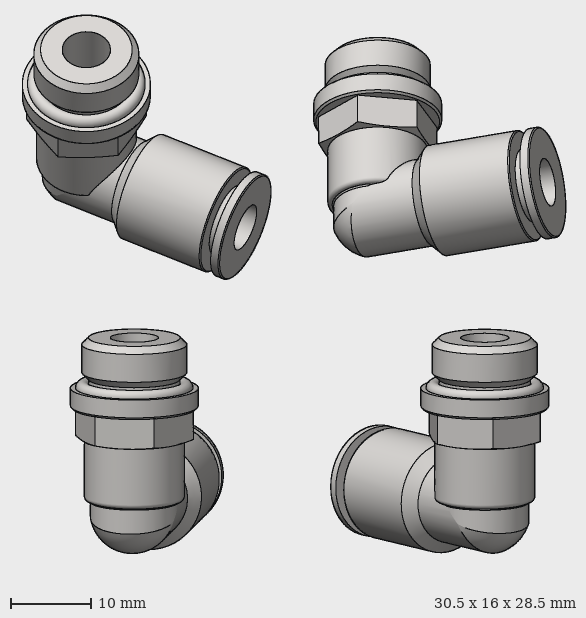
import cadquery as cq
import math


overall_length = 30.5
overall_height = 28.5

elbow_radius = 11.0 / 2
bore_radius = 6.0 / 2
corner_round_offset = 0.4
corner_region_edge = -0.9

flange_radius = 16.0 / 2
body_radius = 14.0 / 2
stem_top = overall_height - body_radius
thread_radius = 13.15 / 2
neck_radius = 11.45 / 2
thread_chamfer = thread_radius - neck_radius
thread_start = 16.23
ring_outer_radius = 7.35
ring_section_radius = 0.9
flange_top = 15.1
flange_bottom = 12.57
flange_chamfer = 0.27
hex_across_flats = 13.0
hex_bottom = 8.48
hex_chamfer_angle = 15
sleeve_radius = 12.5 / 2
sleeve_bottom = 0.8
sleeve_rounding = 0.55
root_fillet = 0.18

arm_end = overall_length - flange_radius
cone_end = 8.0
cone_start = cone_end - (body_radius - elbow_radius)
body_end = 19.82
collar_radius = 9.2 / 2
release_disc_start = 21.3
rim_chamfer = 0.15


def stem_cylinder(radius, bottom, top):
    """Cylinder around Z between two heights."""
    return cq.Workplane("XY").workplane(offset=bottom).circle(radius).extrude(top - bottom)


def arm_cylinder(radius, start, end):
    """Cylinder around X between two distances."""
    return cq.Workplane("YZ").workplane(offset=start).circle(radius).extrude(end - start)


def make_elbow():
    """Mitred cylinders whose outer corner is rounded by a sphere."""
    reach = 2 * elbow_radius
    span = overall_length
    upright = stem_cylinder(elbow_radius, -reach, flange_bottom)
    level = arm_cylinder(elbow_radius, -reach, cone_end)
    above = cq.Workplane("XZ").polyline([(-reach, -reach), (span, span), (-reach, span)]).close()
    below = cq.Workplane("XZ").polyline([(-reach, -reach), (span, span), (span, -reach)]).close()
    elbow = upright.intersect(above.extrude(reach, both=True))
    elbow = elbow.union(level.intersect(below.extrude(reach, both=True)))
    corner = cq.Workplane("XY").box(reach, 2 * reach, reach).translate(
        (corner_region_edge - reach / 2, 0, corner_region_edge - reach / 2)
    )
    ball = cq.Workplane("XY").sphere(elbow_radius).translate(
        (-corner_round_offset, 0, -corner_round_offset)
    )
    return elbow.cut(corner.cut(ball))


def make_sleeve():
    """Plain cylinder with a rounded lower rim and a small fillet onto the elbow."""
    arc_middle = math.sqrt(0.5)
    rim_x = sleeve_radius - sleeve_rounding
    rim_z = sleeve_bottom + sleeve_rounding
    root_x = elbow_radius + root_fillet
    root_z = sleeve_bottom - root_fillet
    profile = (
        cq.Workplane("XZ")
        .moveTo(0, hex_bottom)
        .lineTo(sleeve_radius, hex_bottom)
        .lineTo(sleeve_radius, rim_z)
        .threePointArc(
            (rim_x + sleeve_rounding * arc_middle, rim_z - sleeve_rounding * arc_middle),
            (rim_x, sleeve_bottom),
        )
        .lineTo(root_x, sleeve_bottom)
        .threePointArc(
            (root_x - root_fillet * arc_middle, root_z + root_fillet * arc_middle),
            (elbow_radius, root_z),
        )
        .lineTo(0, root_z)
        .close()
    )
    return profile.revolve(360, (0, 0, 0), (0, 1, 0))


def make_hex():
    """Hexagon with corners on +Y and -Y, its lower corners turned to a cone."""
    corner_radius = hex_across_flats / math.sqrt(3)
    cone_height = (corner_radius - sleeve_radius) * math.tan(math.radians(hex_chamfer_angle))
    prism = (
        cq.Workplane("XY")
        .workplane(offset=hex_bottom)
        .transformed(rotate=(0, 0, 90))
        .polygon(6, 2 * corner_radius)
        .extrude(flange_bottom - hex_bottom)
    )
    turned_blank = stem_cylinder(corner_radius, hex_bottom, flange_bottom)
    turned_blank = turned_blank.faces("<Z").chamfer(cone_height, corner_radius - sleeve_radius)
    return prism.intersect(turned_blank)


def make_threaded_end():
    flange = stem_cylinder(flange_radius, flange_bottom, flange_top)
    flange = flange.faces("<Z").chamfer(flange_chamfer)
    ring = (
        cq.Workplane("XZ")
        .moveTo(ring_outer_radius - ring_section_radius, flange_top)
        .circle(ring_section_radius)
        .revolve(360, (0, 0, 0), (0, 1, 0))
    )
    neck = stem_cylinder(neck_radius, flange_top, thread_start)
    thread = stem_cylinder(thread_radius, thread_start, stem_top)
    thread = thread.faces("<Z or >Z").chamfer(thread_chamfer)
    return flange.union(ring).union(neck).union(thread)


def make_arm():
    body = arm_cylinder(body_radius, cone_start, body_end)
    body = body.faces("<X").chamfer(body_radius - elbow_radius)
    body = body.faces(">X").chamfer(rim_chamfer)
    collar = arm_cylinder(collar_radius, body_end, release_disc_start)
    disc = arm_cylinder(body_radius, release_disc_start, arm_end).faces(">X").chamfer(rim_chamfer)
    return body.union(collar).union(disc)


def make_bore():
    """Two passages of equal diameter joined by a ball at the bend."""
    bore = stem_cylinder(bore_radius, 0, stem_top)
    bore = bore.union(arm_cylinder(bore_radius, 0, arm_end))
    return bore.union(cq.Workplane("XY").sphere(bore_radius))


result = make_elbow().union(make_sleeve()).union(make_hex())
result = result.union(make_threaded_end()).union(make_arm()).cut(make_bore())